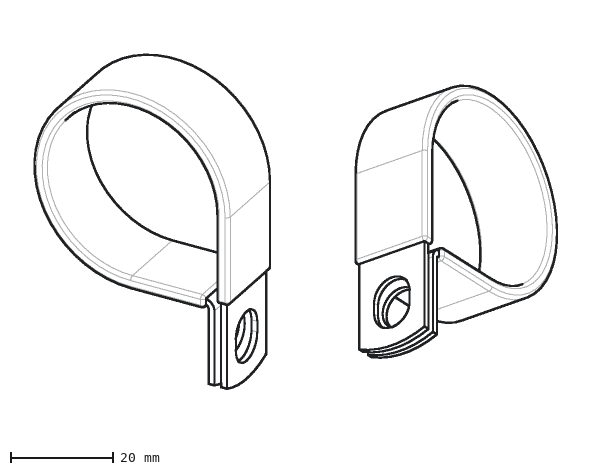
import cadquery as cq
import math

total_height = 62.25
loop_radius = 21.85
cushion_thickness = 2.8
cushion_width = 17.4
strap_thickness = 1.3
strap_width = 15.95
leg_gap = 1.5
cushion_drop = 19.8
cushion_reach = 16.4
bend_inner_radius = 0.95
hole_width = 8.65
slot_length = 11.0
hole_z = -30.8
leg_tip_radius = 20.0

inner_radius = loop_radius - cushion_thickness
mid_radius = loop_radius - cushion_thickness / 2
cushion_round = (cushion_thickness - strap_thickness) / 2
bottom_z = loop_radius - total_height
outer_leg_x = mid_radius - strap_thickness / 2
inner_leg_x = outer_leg_x - leg_gap - strap_thickness
strap_top_z = -mid_radius + strap_thickness / 2
strap_bottom_z = strap_top_z - strap_thickness
bend_outer_radius = bend_inner_radius + strap_thickness
bend_center_x = inner_leg_x - bend_inner_radius
bend_center_z = strap_bottom_z - bend_inner_radius
diagonal = math.sqrt(0.5)


def extrude_centered(profile, width):
    return profile.extrude(width / 2, both=True)


def make_cushion():
    """Three-quarter ring with two straight tails and rounded outer edges."""
    profile = (
        cq.Workplane("XZ")
        .moveTo(loop_radius, -cushion_drop)
        .lineTo(loop_radius, 0)
        .threePointArc((-loop_radius * diagonal, loop_radius * diagonal), (0, -loop_radius))
        .lineTo(cushion_reach, -loop_radius)
        .lineTo(cushion_reach, -inner_radius)
        .lineTo(0, -inner_radius)
        .threePointArc((-inner_radius * diagonal, inner_radius * diagonal), (inner_radius, 0))
        .lineTo(inner_radius, -cushion_drop)
        .close()
    )
    body = extrude_centered(profile, cushion_width)
    side_edges = body.faces("<Y or >Y").edges()
    drop_end = cq.selectors.NearestToPointSelector((mid_radius, 0, -cushion_drop))
    reach_end = cq.selectors.NearestToPointSelector((cushion_reach, 0, -mid_radius))
    end_edges = body.faces(drop_end).edges("|Y").add(body.faces(reach_end).edges("|Y"))
    return side_edges.add(end_edges).fillet(cushion_round)


def make_outer_leg():
    """Straight leg, starting inside the vertical cushion tail."""
    profile = cq.Workplane("XZ").moveTo(outer_leg_x, bottom_z)
    profile = profile.lineTo(outer_leg_x + strap_thickness, bottom_z)
    profile = profile.lineTo(outer_leg_x + strap_thickness, 0).lineTo(outer_leg_x, 0).close()
    return extrude_centered(profile, strap_width)


def make_inner_leg():
    """Leg bent down from the horizontal cushion tail."""
    outer_offset = bend_outer_radius * diagonal
    inner_offset = bend_inner_radius * diagonal
    profile = (
        cq.Workplane("XZ")
        .moveTo(0, strap_top_z)
        .lineTo(bend_center_x, strap_top_z)
        .threePointArc(
            (bend_center_x + outer_offset, bend_center_z + outer_offset),
            (inner_leg_x + strap_thickness, bend_center_z),
        )
        .lineTo(inner_leg_x + strap_thickness, bottom_z)
        .lineTo(inner_leg_x, bottom_z)
        .lineTo(inner_leg_x, bend_center_z)
        .threePointArc(
            (bend_center_x + inner_offset, bend_center_z + inner_offset),
            (bend_center_x, strap_bottom_z),
        )
        .lineTo(0, strap_bottom_z)
        .close()
    )
    return extrude_centered(profile, strap_width)


def make_tip_envelope():
    """Bar along X that leaves the leg tips with an arc-shaped lower end."""
    half_width = strap_width / 2
    corner_z = bottom_z + leg_tip_radius - math.sqrt(leg_tip_radius**2 - half_width**2)
    return (
        cq.Workplane("YZ")
        .moveTo(-half_width, corner_z)
        .threePointArc((0, bottom_z), (half_width, corner_z))
        .lineTo(half_width, 0)
        .lineTo(-half_width, 0)
        .close()
        .extrude(loop_radius)
    )


def make_bolt_hole():
    return cq.Workplane("YZ").center(0, hole_z).circle(hole_width / 2).extrude(loop_radius)


def make_bolt_slot():
    """Vertical slot that gives the outer leg some adjustment."""
    return cq.Workplane("YZ").center(0, hole_z).slot2D(slot_length, hole_width, 90).extrude(loop_radius)


tip_envelope = make_tip_envelope()
inner_leg = make_inner_leg().intersect(tip_envelope).cut(make_bolt_hole())
outer_leg = make_outer_leg().intersect(tip_envelope).cut(make_bolt_slot())
result = make_cushion().union(inner_leg).union(outer_leg)